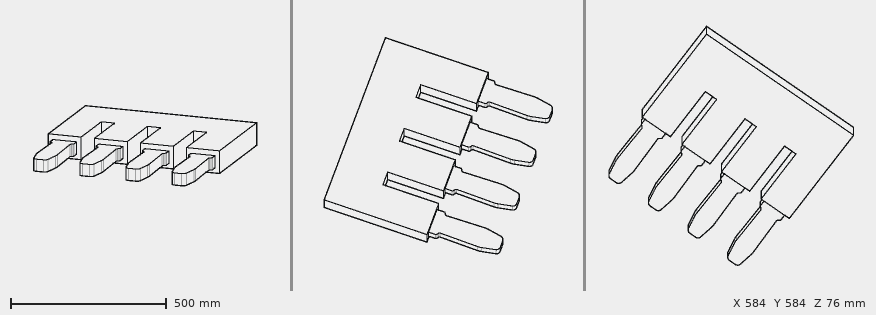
import cadquery as cq

HOUSING_WIDTH = 584.0
HOUSING_LENGTH = 350.5
HOUSING_HEIGHT = 76.0
FINGER_COUNT = 4
SLOT_WIDTH = 45.0
SLOT_DEPTH = 190.0
FINGER_WIDTH = (HOUSING_WIDTH - (FINGER_COUNT - 1) * SLOT_WIDTH) / FINGER_COUNT
PITCH = FINGER_WIDTH + SLOT_WIDTH

OVERALL_LENGTH = 584.0
BLADE_LENGTH = OVERALL_LENGTH - HOUSING_LENGTH
BLADE_THICKNESS = 41.0
COLLAR_WIDTH = 82.0
NECK_WIDTH = 62.5
SHOULDER_WIDTH = 68.5
TIP_WIDTH = 45.0
COLLAR_END = 27.0
NECK_START = 33.0
SHOULDER_DISTANCE = 170.5

COLLAR_RADIUS = 6.0
SHOULDER_RADIUS = 67.0
TIP_RADIUS = 13.0


def centered_row():
    """X positions of the fingers, symmetric about X = 0."""
    return [(i - (FINGER_COUNT - 1) / 2) * PITCH for i in range(FINGER_COUNT)]


def make_housing():
    """Comb block with its finger ends at Y = 0."""
    housing = cq.Workplane("XY").box(
        HOUSING_WIDTH, HOUSING_LENGTH, HOUSING_HEIGHT, centered=(True, False, True)
    )
    slot = cq.Workplane("XY").box(
        SLOT_WIDTH, SLOT_DEPTH, HOUSING_HEIGHT, centered=(True, False, True)
    )
    for finger_x in centered_row()[:-1]:
        housing = housing.cut(slot.translate((finger_x + PITCH / 2, 0, 0)))
    return housing


def round_corners(blade, distance, radius):
    """Round the pair of upright blade edges at a distance from the housing."""
    half_band = 0.5
    band = cq.selectors.BoxSelector(
        (-COLLAR_WIDTH, -distance - half_band, -BLADE_THICKNESS),
        (COLLAR_WIDTH, -distance + half_band, BLADE_THICKNESS),
    )
    return blade.edges("|Z").edges(band).fillet(radius)


def make_blade():
    """Symmetric blade pointing along -Y from Y = 0."""
    right_side = [
        (COLLAR_WIDTH / 2, 0),
        (COLLAR_WIDTH / 2, -COLLAR_END),
        (NECK_WIDTH / 2, -NECK_START),
        (SHOULDER_WIDTH / 2, -SHOULDER_DISTANCE),
        (TIP_WIDTH / 2, -BLADE_LENGTH),
    ]
    left_side = [(-x, y) for x, y in reversed(right_side)]
    blade = (
        cq.Workplane("XY")
        .polyline(right_side + left_side)
        .close()
        .extrude(BLADE_THICKNESS / 2, both=True)
    )
    blade = round_corners(blade, COLLAR_END, COLLAR_RADIUS)
    blade = round_corners(blade, NECK_START, COLLAR_RADIUS)
    blade = round_corners(blade, SHOULDER_DISTANCE, SHOULDER_RADIUS)
    return round_corners(blade, BLADE_LENGTH, TIP_RADIUS)


result = make_housing()
contact_blade = make_blade()
for blade_x in centered_row():
    result = result.union(contact_blade.translate((blade_x, 0, 0)))